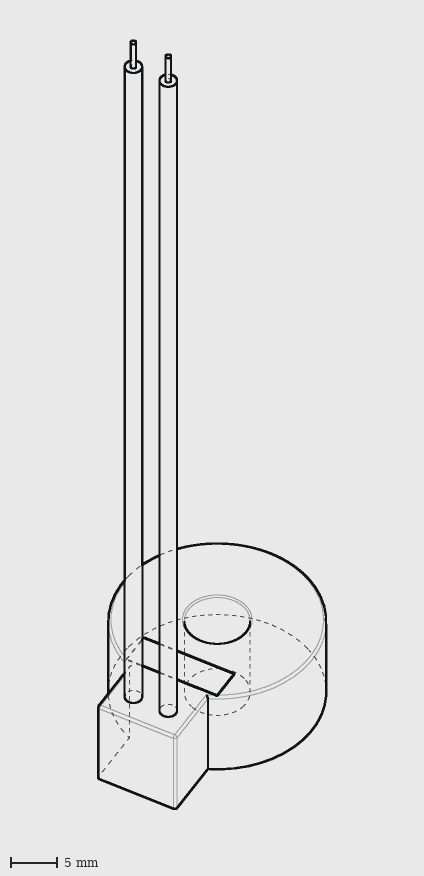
import cadquery as cq

ring_diameter = 23.5
bore_diameter = 7.1
body_height = 11.05
rim_round = 0.3
bore_round = 0.2

block_width = 9.7
overall_length = 29.5
block_front_y = ring_diameter / 2 - overall_length
block_back_y = -10.0
block_edge_round = 0.3

panel_width = 11.2
panel_length = 3.8
panel_depth = 0.1

overall_height = 111.05
wire_spacing = 4.3
wire_y = -14.6
insulation_diameter = 1.9
conductor_diameter = 0.6
bare_length = 3.7
insulation_top_z = overall_height - bare_length


def make_ring():
    """Ring with a through bore, its outer rim and bore mouth rounded at the top."""
    ring = (
        cq.Workplane("XY")
        .circle(ring_diameter / 2)
        .circle(bore_diameter / 2)
        .extrude(body_height)
    )
    outer_rim = cq.selectors.RadiusNthSelector(-1)
    bore_mouth = cq.selectors.RadiusNthSelector(0)
    ring = ring.faces(">Z").edges(outer_rim).fillet(rim_round)
    return ring.faces(">Z").edges(bore_mouth).fillet(bore_round)


def make_block():
    """Block running from its -Y face back into the ring, rounded on its exposed edges."""
    block_length = block_back_y - block_front_y
    block = (
        cq.Workplane("XY", origin=(0, block_front_y + block_length / 2, 0))
        .rect(block_width, block_length)
        .extrude(body_height)
    )
    block = block.edges("|Z and <Y").fillet(block_edge_round)
    return block.faces(">Z").edges("not >Y").fillet(block_edge_round)


def make_label_panel():
    panel_centre_y = block_back_y + panel_length / 2
    return (
        cq.Workplane("XY", origin=(0, panel_centre_y, body_height - panel_depth))
        .rect(panel_width, panel_length)
        .extrude(panel_depth)
    )


def make_rod(x, diameter, top_z):
    """Round rod at the wire position, rising from the base of the block."""
    return cq.Workplane("XY", origin=(x, wire_y, 0)).circle(diameter / 2).extrude(top_z)


def make_wire(x):
    """Insulated lead with a bare conductor tip."""
    insulation = make_rod(x, insulation_diameter, insulation_top_z)
    conductor = make_rod(x, conductor_diameter, overall_height)
    return insulation.union(conductor)


result = make_ring().union(make_block()).cut(make_label_panel())
for side in (-1, 1):
    result = result.union(make_wire(side * wire_spacing / 2))